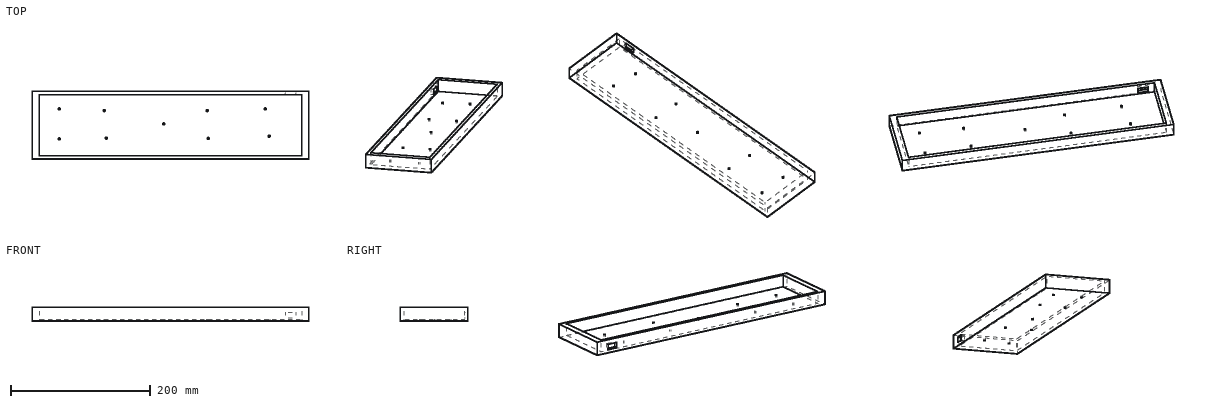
import cadquery as cq

LENGTH = 397.0
WIDTH = 97.5
HEIGHT = 20.0

END_WALL = 10.0
SIDE_WALL = 5.0
FLOOR = 2.5

WINDOW_LENGTH = 15.0
WINDOW_HEIGHT = 8.0
WINDOW_SILL = 2.5
WINDOW_END_GAP = 9.0

HOLE_DIAMETER = 2.2
HOLE_CENTRES = [
    (-159.5, 23.25),
    (-159.5, -19.75),
    (-95.0, 21.0),
    (-92.0, -18.5),
    (-9.5, 1.75),
    (52.5, 21.0),
    (54.0, -19.0),
    (136.0, 23.25),
    (141.5, -15.75),
]


def make_tray():
    """Base plate carrying a rectangular wall frame, with the seam between them kept."""
    base = cq.Workplane("XY").rect(LENGTH, WIDTH).extrude(FLOOR)
    frame = (
        cq.Workplane("XY", origin=(0, 0, FLOOR))
        .rect(LENGTH, WIDTH)
        .rect(LENGTH - 2 * END_WALL, WIDTH - 2 * SIDE_WALL)
        .extrude(HEIGHT - FLOOR)
    )
    return base.union(frame, clean=False)


def window_cutter():
    """Rectangular block that passes through the +Y side wall."""
    right_edge = LENGTH / 2 - END_WALL - WINDOW_END_GAP
    corner = (right_edge - WINDOW_LENGTH, WIDTH / 2 - SIDE_WALL, FLOOR + WINDOW_SILL)
    return cq.Workplane("XY", origin=corner).box(
        WINDOW_LENGTH, SIDE_WALL, WINDOW_HEIGHT, centered=False
    )


def hole_cutters():
    """Vertical cylinders through the floor."""
    return cq.Workplane("XY").pushPoints(HOLE_CENTRES).circle(HOLE_DIAMETER / 2).extrude(FLOOR)


result = make_tray().cut(window_cutter(), clean=False).cut(hole_cutters(), clean=False)